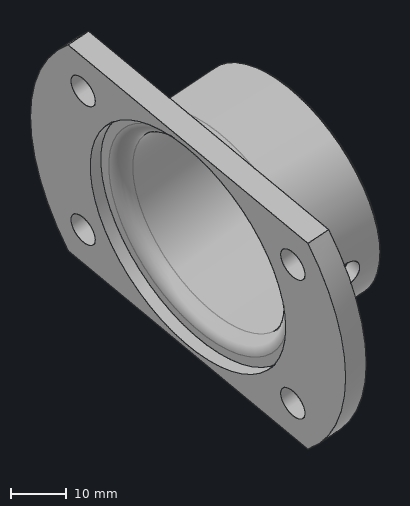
import cadquery as cq

flange_diameter = 84.7
flange_height = 55.0
flange_thickness = 5.0

total_depth = 25.0
boss_radius = 24.15
bore_radius = 21.1
root_fillet = 3.0
rim_chamfer = 0.4

recess_radius = 26.3
recess_depth = 2.5
lip_radius = boss_radius - bore_radius

mount_hole_diameter = 6.5
mount_spacing_x = 56.35
mount_spacing_z = 37.0
radial_hole_diameter = 6.0
radial_hole_y = 16.7


def cylinder_along_y(radius, start_y, end_y):
    """Solid cylinder on the Y axis between two Y positions."""
    plane = cq.Workplane("XZ", origin=(0, start_y, 0))
    return plane.circle(radius).extrude(start_y - end_y)


def make_flange():
    disc = cylinder_along_y(flange_diameter / 2, 0, flange_thickness)
    flats = cq.Workplane("XY").box(flange_diameter, 2 * flange_thickness, flange_height)
    return disc.intersect(flats)


def make_boss():
    """Revolved boss with a concave root fillet and a chamfered rear rim."""
    fillet_end_y = flange_thickness + root_fillet
    profile = (
        cq.Workplane("XY")
        .lineTo(boss_radius + root_fillet, 0)
        .lineTo(boss_radius + root_fillet, flange_thickness)
        .radiusArc((boss_radius, fillet_end_y), root_fillet)
        .lineTo(boss_radius, total_depth - rim_chamfer)
        .lineTo(boss_radius - rim_chamfer, total_depth)
        .lineTo(0, total_depth)
        .close()
    )
    return profile.revolve(360, (0, 0, 0), (0, 1, 0))


def make_bore():
    """Revolved cavity: recess, convex rounded lip, then a straight bore."""
    profile = (
        cq.Workplane("XY")
        .lineTo(recess_radius, 0)
        .lineTo(recess_radius, recess_depth)
        .lineTo(boss_radius, recess_depth)
        .radiusArc((bore_radius, recess_depth + lip_radius), lip_radius)
        .lineTo(bore_radius, total_depth)
        .lineTo(0, total_depth)
        .close()
    )
    return profile.revolve(360, (0, 0, 0), (0, 1, 0))


def make_mount_holes():
    return (
        cq.Workplane("XZ")
        .rarray(mount_spacing_x, mount_spacing_z, 2, 2)
        .circle(mount_hole_diameter / 2)
        .extrude(-flange_thickness)
    )


def make_radial_hole():
    plane = cq.Workplane("YZ", origin=(0, radial_hole_y, 0))
    return plane.circle(radial_hole_diameter / 2).extrude(flange_diameter / 2)


result = (
    make_flange()
    .union(make_boss())
    .cut(make_bore())
    .cut(make_mount_holes())
    .cut(make_radial_hole())
)